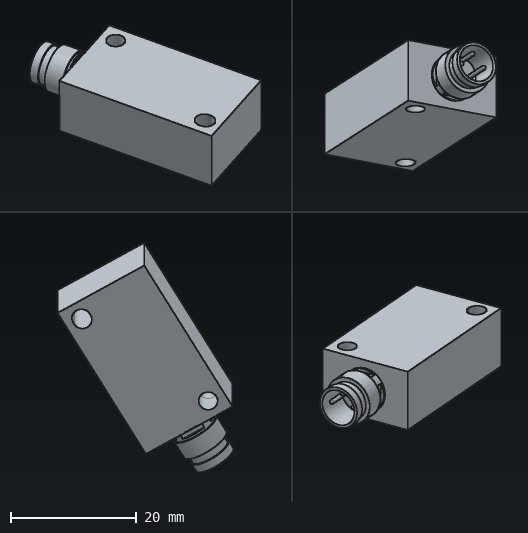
import cadquery as cq

total_length = 35.8
body_width = 16.0
body_height = 10.3
body_start = 8.0
body_length = total_length - body_start

hole_diameter = 3.0
slot_length = 3.33
hole_end_offset = 2.83
slot_end_offset = 2.83
hole_side_offset = 2.85

lip_end = 1.5
sleeve_end = 3.0
collar_end = 6.15
lip_diameter = 7.0
sleeve_diameter = 6.5
collar_diameter = 8.0
neck_diameter = 7.5

flat_start = 6.6
flat_end = 7.6
across_flats = 6.35

socket_diameter = 6.0
socket_depth = 5.73
pin_diameter = 0.7
pin_start = 1.0
pin_tip_radius = 0.25
pin_circle_radius = 2.0
pin_angles = (0, 90, 180)


def cylinder_x(diameter, start, end):
    """Cylinder on the X axis between two stations."""
    return cq.Workplane("YZ", origin=(start, 0, 0)).circle(diameter / 2).extrude(end - start)


def make_body():
    """Rectangular block with a round and an elongated through hole."""
    body = cq.Workplane("XY").box(body_length, body_width, body_height)
    body = body.translate((body_start + body_length / 2, 0, 0))
    hole_y = body_width / 2 - hole_side_offset
    round_hole = (
        cq.Workplane("XY")
        .center(body_start + hole_end_offset, hole_y)
        .circle(hole_diameter / 2)
        .extrude(body_height, both=True)
    )
    long_hole = (
        cq.Workplane("XY")
        .center(total_length - slot_end_offset, -hole_y)
        .slot2D(slot_length, hole_diameter)
        .extrude(body_height, both=True)
    )
    return body.cut(round_hole).cut(long_hole)


def make_neck():
    """Round neck with four flats forming a square waist."""
    neck = cylinder_x(neck_diameter, collar_end, body_start)
    flat_ring = cylinder_x(collar_diameter, flat_start, flat_end)
    square = cq.Workplane("YZ", origin=(flat_start, 0, 0)).rect(across_flats, across_flats)
    return neck.cut(flat_ring.cut(square.extrude(flat_end - flat_start)))


def make_shell():
    """Stepped connector shell with its blind socket."""
    shell = cylinder_x(lip_diameter, 0, lip_end)
    shell = shell.union(cylinder_x(sleeve_diameter, lip_end, sleeve_end))
    shell = shell.union(cylinder_x(collar_diameter, sleeve_end, collar_end))
    return shell.union(make_neck()).cut(cylinder_x(socket_diameter, 0, socket_depth))


def make_pin(angle):
    """Contact pin with a rounded tip, anchored in the neck behind the socket floor."""
    pin = cylinder_x(pin_diameter, pin_start, collar_end).faces("<X").edges().fillet(pin_tip_radius)
    return pin.translate((0, pin_circle_radius, 0)).rotate((0, 0, 0), (1, 0, 0), angle)


result = make_body().union(make_shell())
for pin_angle in pin_angles:
    result = result.union(make_pin(pin_angle))